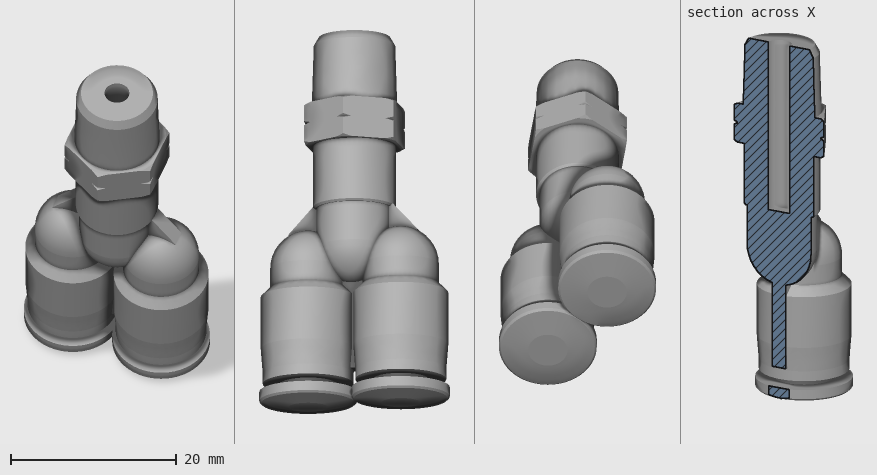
import cadquery as cq
import math

overall_height = 45.5
overall_width = 23.3

thread_length = 8.5
thread_tip_radius = 4.93
thread_taper = 1 / 32
tip_chamfer_height = 1.0
tip_chamfer_width = 0.58
bore_diameter = 3.0

hex_across_flats = 25.4 * 7 / 16
hex_height = 5.0
hex_layers = 2
hex_chamfer_radius = 5.95
hex_chamfer_angle = 30

shank_diameter = 10.0
shank_bottom = 24.25
shank_chamfer = 0.25
neck_radius = 4.6
neck_ball_height = 19.5

button_diameter = 11.84
socket_offset = (overall_width - button_diameter) / 2
dome_radius = 4.6
dome_center_height = 17.2
shoulder_height = 14.77
socket_overlap = 0.01
socket_radius = socket_offset + socket_overlap
socket_taper_top = 7.2
sleeve_top = 4.15
sleeve_bottom = 2.9
sleeve_radius = 11.0 / 2

button_stem_radius = 6.76 / 2
flare_top = 2.3
flare_size = 0.4
flange_top = flare_top - flare_size
crown_height = 0.5
flange_chamfer = 0.25
crown_flat_radius = 4.76 / 2

web_thickness = 2.0
web_top = shank_bottom + shank_chamfer
web_bottom = 4.4
brace_run = 3.0
brace_drop = 3.25

hex_top = overall_height - thread_length
hex_bottom = hex_top - hex_height
button_radius = button_diameter / 2


def thread_stem():
    """Tapered thread blank with a chamfered tip."""
    taper_top = overall_height - tip_chamfer_height
    root_radius = thread_tip_radius + thread_taper * (taper_top - hex_top)
    return (
        cq.Workplane("XZ")
        .moveTo(0, hex_top)
        .lineTo(root_radius, hex_top)
        .lineTo(thread_tip_radius, taper_top)
        .lineTo(thread_tip_radius - tip_chamfer_width, overall_height)
        .lineTo(0, overall_height)
        .close()
        .revolve(360, (0, 0), (0, 1))
    )


def hex_layer(bottom, height):
    """One hexagon layer with corners pointing along Y, both ends chamfered."""
    corner_radius = hex_across_flats / math.sqrt(3)
    chamfer_drop = (corner_radius - hex_chamfer_radius) * math.tan(math.radians(hex_chamfer_angle))
    prism = (
        cq.Workplane("XY", origin=(0, 0, bottom))
        .polygon(6, 2 * corner_radius)
        .extrude(height)
        .rotate((0, 0, 0), (0, 0, 1), 90)
    )
    envelope = (
        cq.Workplane("XZ")
        .moveTo(0, bottom)
        .lineTo(hex_chamfer_radius, bottom)
        .lineTo(corner_radius, bottom + chamfer_drop)
        .lineTo(corner_radius, bottom + height - chamfer_drop)
        .lineTo(hex_chamfer_radius, bottom + height)
        .lineTo(0, bottom + height)
        .close()
        .revolve(360, (0, 0), (0, 1))
    )
    return prism.intersect(envelope)


def hexagon():
    layer_height = hex_height / hex_layers
    body = hex_layer(hex_bottom, layer_height)
    for index in range(1, hex_layers):
        body = body.union(hex_layer(hex_bottom + index * layer_height, layer_height))
    return body


def shank_and_neck():
    """Shank with a chamfered lower rim, over a neck ending in a half ball."""
    shank_radius = shank_diameter / 2
    ball_mid = neck_radius * math.sqrt(0.5)
    return (
        cq.Workplane("XZ")
        .moveTo(0, hex_bottom)
        .lineTo(shank_radius, hex_bottom)
        .lineTo(shank_radius, shank_bottom + shank_chamfer)
        .lineTo(shank_radius - shank_chamfer, shank_bottom)
        .lineTo(neck_radius, shank_bottom)
        .lineTo(neck_radius, neck_ball_height)
        .threePointArc(
            (ball_mid, neck_ball_height - ball_mid),
            (0, neck_ball_height - neck_radius),
        )
        .close()
        .revolve(360, (0, 0), (0, 1))
    )


def socket(center_x):
    """Domed tube socket with its release button, as one turned profile."""
    dome_mid = dome_radius * math.sqrt(0.5)
    return (
        cq.Workplane("XZ")
        .moveTo(0, dome_center_height + dome_radius)
        .threePointArc(
            (dome_mid, dome_center_height + dome_mid),
            (dome_radius, dome_center_height),
        )
        .lineTo(dome_radius, shoulder_height)
        .lineTo(socket_radius, shoulder_height - (socket_radius - dome_radius))
        .lineTo(socket_radius, socket_taper_top)
        .lineTo(sleeve_radius, sleeve_top)
        .lineTo(sleeve_radius, sleeve_bottom)
        .lineTo(button_stem_radius, sleeve_bottom)
        .lineTo(button_stem_radius, flare_top)
        .lineTo(button_stem_radius + flare_size, flange_top)
        .lineTo(button_radius, flange_top)
        .lineTo(button_radius, crown_height + flange_chamfer)
        .lineTo(button_radius - flange_chamfer, crown_height)
        .lineTo(crown_flat_radius, 0)
        .lineTo(0, 0)
        .close()
        .revolve(360, (0, 0), (0, 1))
        .translate((center_x, 0, 0))
    )


def web():
    """Flat web between the sockets, with sloping braces from the shank rim to the domes."""
    brace_top = shank_diameter / 2
    brace_end = brace_top + brace_run
    brace_end_height = web_top - brace_drop
    outline = [
        (brace_top, web_top),
        (brace_end, brace_end_height),
        (socket_offset, dome_center_height),
        (socket_offset, web_bottom),
        (-socket_offset, web_bottom),
        (-socket_offset, dome_center_height),
        (-brace_end, brace_end_height),
        (-brace_top, web_top),
    ]
    return cq.Workplane("XZ").polyline(outline).close().extrude(web_thickness / 2, both=True)


def bore():
    """Blind bore from the thread tip to the underside of the shank."""
    return (
        cq.Workplane("XY", origin=(0, 0, shank_bottom))
        .circle(bore_diameter / 2)
        .extrude(overall_height - shank_bottom)
    )


result = thread_stem().union(hexagon()).union(shank_and_neck()).union(web())
for side in (-1, 1):
    result = result.union(socket(side * socket_offset))
result = result.cut(bore())